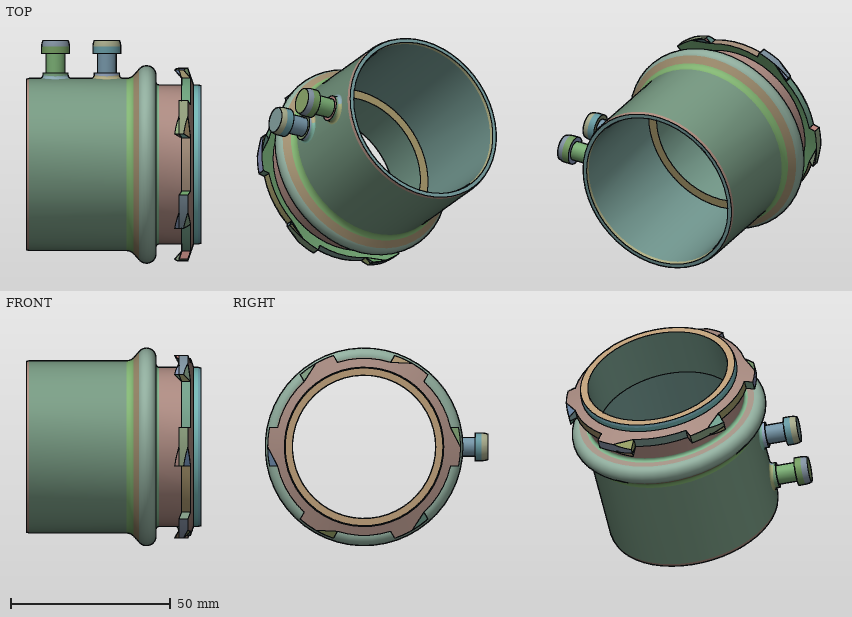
import cadquery as cq
import math

total_length = 54.8

socket_od = 54.1
socket_bore = 50.4
nose_od = 50.0
wall = (socket_od - socket_bore) / 2
throat_bore = 44.8
end_chamfer_length = 1.0
end_chamfer_depth = 0.3

bead_od = 62.0
bead_radius = 3.0
bead_shoulder_x = 40.7
blend_start_x = 31.45
shoulder_fillet = 1.0

lug_count = 6
lug_od = 60.4
lug_width = 12.0
nut_ring_od = 55.5
nut_front_x = 52.4
nut_thickness = 2.8
nut_dish_slope = 0.345
tooth_height = 1.3

screw_positions = [9.15, 25.2]
screw_top_y = 69.9 - bead_od / 2
shank_diameter = 6.0
head_diameter = 8.8
head_top_diameter = 8.0
head_height = 4.1
dome_height = 1.95
collar_diameter = 8.0
collar_height = 1.7
collar_fillet = 1.0

socket_radius = socket_od / 2
nose_radius = nose_od / 2


def revolve_about_x(profile):
    """Revolve a profile of (x, radius) points about the X axis."""
    return profile.close().revolve(360, (0, 0, 0), (1, 0, 0))


def make_housing():
    bead_x = bead_shoulder_x - bead_radius
    bead_r = bead_od / 2 - bead_radius
    blend_r = socket_radius + bead_radius

    center_distance = math.hypot(bead_x - blend_start_x, blend_r - bead_r)
    drop_angle = math.atan2(blend_r - bead_r, bead_x - blend_start_x)
    tangent_angle = drop_angle + math.acos(2 * bead_radius / center_distance)

    def on_blend(angle):
        return (blend_start_x + bead_radius * math.cos(angle), blend_r - bead_radius * math.sin(angle))

    def on_bead(angle):
        return (bead_x - bead_radius * math.cos(angle), bead_r + bead_radius * math.sin(angle))

    fillet_r = nose_radius + shoulder_fillet
    fillet_mid = shoulder_fillet * (1 - math.sqrt(0.5))
    step_x = bead_shoulder_x - wall
    bore_radius = socket_bore / 2
    profile = (
        cq.Workplane("XY")
        .moveTo(0, bore_radius + end_chamfer_depth)
        .lineTo(0, socket_radius - end_chamfer_depth)
        .lineTo(end_chamfer_length, socket_radius)
        .lineTo(blend_start_x, socket_radius)
        .threePointArc(on_blend((math.pi / 2 + tangent_angle) / 2), on_blend(tangent_angle))
        .lineTo(*on_bead(tangent_angle))
        .threePointArc(on_bead(math.pi / 2), on_bead(math.pi))
        .lineTo(bead_shoulder_x, fillet_r)
        .threePointArc(
            (bead_shoulder_x + fillet_mid, nose_radius + fillet_mid),
            (bead_shoulder_x + shoulder_fillet, nose_radius),
        )
        .lineTo(total_length - end_chamfer_length, nose_radius)
        .lineTo(total_length, nose_radius - end_chamfer_depth)
        .lineTo(total_length, throat_bore / 2)
        .lineTo(step_x, throat_bore / 2)
        .lineTo(step_x, bore_radius)
        .lineTo(end_chamfer_length, bore_radius)
    )
    return revolve_about_x(profile)


def make_dished_ring(outer_radius):
    """Conical ring on the nose, its rim leaning toward the socket."""
    lean = nut_dish_slope * (outer_radius - nose_radius)
    profile = (
        cq.Workplane("XY")
        .moveTo(nut_front_x - nut_thickness, nose_radius)
        .lineTo(nut_front_x, nose_radius)
        .lineTo(nut_front_x - lean, outer_radius)
        .lineTo(nut_front_x - lean - nut_thickness, outer_radius)
    )
    return revolve_about_x(profile)


def rim_x(radius):
    """X of the locknut's back face at a radius."""
    return nut_front_x - nut_thickness - nut_dish_slope * (radius - nose_radius)


def make_tooth():
    """Tooth behind one corner of a lug: a wedge that rises from a fold line to the corner."""
    half_width = lug_width / 2
    ring_radius = nut_ring_od / 2
    lug_radius = lug_od / 2
    root_z = math.sqrt(ring_radius**2 - half_width**2)
    corner_z = math.sqrt(lug_radius**2 - half_width**2)

    fold_start = cq.Vector(rim_x(lug_radius), 0, lug_radius)
    fold_end = cq.Vector(rim_x(ring_radius), -half_width, root_z)
    tip = cq.Vector(rim_x(lug_radius) - tooth_height, -half_width, corner_z)

    fold_direction = fold_end - fold_start
    slope_plane = cq.Plane(
        origin=fold_start, xDir=fold_direction, normal=fold_direction.cross(tip - fold_start)
    )
    in_front_of_slope = (
        cq.Workplane(slope_plane).rect(lug_od, lug_od).extrude(math.copysign(lug_od, slope_plane.zDir.x))
    )
    corner_column = (
        cq.Workplane("YZ")
        .moveTo(0, lug_radius)
        .lineTo(-half_width, root_z)
        .lineTo(-half_width, lug_radius)
        .close()
        .extrude(total_length)
    )
    space_behind_nut = make_dished_ring(lug_radius).translate((-nut_thickness, 0, 0))
    return space_behind_nut.intersect(corner_column).intersect(in_front_of_slope)


def around_axis(solid):
    """Copies of a solid for all lugs; the solid is placed for a lug that points along +Z."""
    pitch = 360 / lug_count
    return [solid.rotate((0, 0, 0), (1, 0, 0), pitch * (index + 0.5)) for index in range(lug_count)]


def make_locknut(tooth):
    """Dished ring with lugs; each lug has a recess in front, shaped like the tooth behind it."""
    outline = cq.Workplane("YZ").circle(nut_ring_od / 2).extrude(total_length)
    lug_bar = cq.Workplane("XY").box(total_length, lug_width, lug_od, centered=(False, True, False))
    for bar in around_axis(lug_bar):
        outline = outline.union(bar)
    nut = make_dished_ring(lug_od / 2).intersect(outline)
    for recess in around_axis(tooth.translate((nut_thickness, 0, 0))):
        nut = nut.cut(recess)
    return nut


def add_collar(body, x):
    """Add a collar on the socket, its foot blended into the socket's surface."""
    post = (
        cq.Workplane("XZ", origin=(x, socket_radius - wall / 2, 0))
        .circle(collar_diameter / 2)
        .extrude(-collar_height - wall / 2)
    )
    body = body.union(post)
    foot_edge = body.edges(
        cq.selectors.BoxSelector(
            (x - collar_diameter, socket_radius / 2, -collar_diameter),
            (x + collar_diameter, socket_radius + collar_height / 2, collar_diameter),
        )
    )
    return foot_edge.fillet(collar_fillet)


def make_screw(x):
    """Screw with a domed head, its shank standing on the collar."""
    collar_top_y = socket_radius + collar_height
    head_base_y = screw_top_y - head_height
    dome_base_y = screw_top_y - dome_height
    head_radius = head_diameter / 2
    top_radius = head_top_diameter / 2

    inset = head_radius - top_radius
    dome_radius = (dome_height**2 + inset**2) / (2 * inset)
    mid_angle = math.asin(dome_height / dome_radius) / 2
    dome_mid = (
        head_radius - dome_radius * (1 - math.cos(mid_angle)),
        dome_base_y + dome_radius * math.sin(mid_angle),
    )
    return (
        cq.Workplane("XY", origin=(x, 0, 0))
        .moveTo(0, collar_top_y)
        .lineTo(shank_diameter / 2, collar_top_y)
        .lineTo(shank_diameter / 2, head_base_y)
        .lineTo(head_radius, head_base_y)
        .lineTo(head_radius, dome_base_y)
        .threePointArc(dome_mid, (top_radius, screw_top_y))
        .lineTo(0, screw_top_y)
        .close()
        .revolve(360, (0, 0, 0), (0, 1, 0))
    )


def make_connector(tooth):
    """Housing, locknut, collars and screws in one piece."""
    connector = make_housing()
    for x in screw_positions:
        connector = add_collar(connector, x).union(make_screw(x))
    return connector.union(make_locknut(tooth))


first_tooth = make_tooth()
connector = make_connector(first_tooth)
teeth = around_axis(first_tooth)

result = cq.Compound.makeCompound([body.solids().val() for body in [connector, *teeth]])